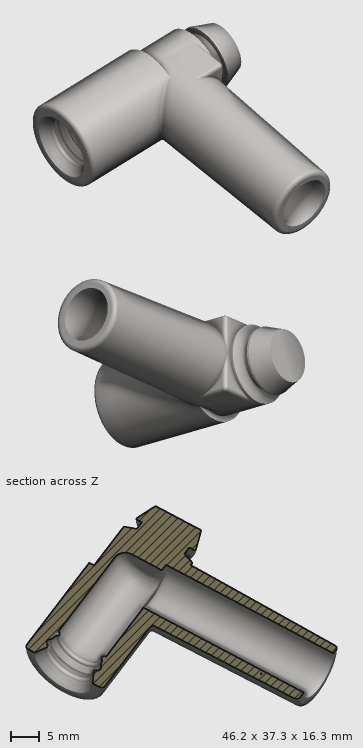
import cadquery as cq
import math

barrel_radius = 8.13
barrel_length = 21.1
barrel_edge_radius = 0.75
body_radius = 7.12
body_end = 30.75
neck_radius = 4.95
neck_start = 31.55
head_start = 33.1
head_rim_end = 33.5
head_radius = 6.13
tip_radius = 4.76
tip_end = 37.34

arm_y = 23.05
arm_root_x = 8.4
arm_end_x = 38.1
arm_end_radius = 6.62
arm_end_shift = -0.2
arm_edge_radius = 0.75
web_radius = 0.6

flat_start_x = 0.95
flat_height = math.sqrt(body_radius**2 - flat_start_x**2)
block_edge_radius = 0.7

mouth_radius = 6.02
lead_in_radius = 5.71
lead_in_depth = 0.5
first_rib_start_radius = 5.04
first_rib_start = 1.75
first_rib_radius = 4.8
first_rib_width = 1.0
groove_radius = 5.5
groove_end_radius = 5.15
groove_end = 3.85
second_rib_start_radius = 4.72
second_rib_start = 5.05
second_rib_radius = 4.34
second_rib_width = 1.0
cavity_radius = 4.9
bore_depth = 26.5
bore_floor_radius = 2.8

arm_bore_radius = 4.8
arm_bore_start = 3.48


def rod_y(radius, length):
    """Cylinder about the Y axis, from Y = 0 to Y = length."""
    return cq.Workplane("XZ").circle(radius).extrude(-length)


def rod_x(radius, start, end):
    """Cylinder about the arm axis, between two X positions."""
    return cq.Workplane("YZ", origin=(start, arm_y, 0)).circle(radius).extrude(end - start)


def make_stem():
    """Body, neck and head, from the barrel shoulder to the tip."""
    profile = (
        cq.Workplane("XY")
        .moveTo(0, barrel_length)
        .lineTo(body_radius, barrel_length)
        .lineTo(body_radius, body_end)
        .lineTo(neck_radius, neck_start)
        .lineTo(neck_radius, head_start)
        .lineTo(head_radius, head_start)
        .lineTo(head_radius, head_rim_end)
        .lineTo(tip_radius, tip_end)
        .lineTo(0, tip_end)
        .close()
    )
    return profile.revolve(360, (0, 0, 0), (0, 1, 0))


def make_barrel():
    """Barrel up to its shoulder, joined by a fillet to the part of the arm root that it meets."""
    barrel = rod_y(barrel_radius, 2 * arm_y).faces("<Y").edges().fillet(barrel_edge_radius)
    crossing = barrel.union(rod_x(body_radius, 0, 2 * arm_root_x))
    inside_corner = cq.selectors.BoxSelector(
        (0, arm_y - barrel_radius, -barrel_radius),
        (barrel_radius, arm_y + barrel_radius, barrel_radius),
    )
    crossing = crossing.edges("not (%CIRCLE or |Y)").edges(inside_corner).fillet(web_radius)
    keep = cq.Workplane("XY").box(
        barrel_radius + arm_root_x, barrel_length, 2 * barrel_radius, centered=(False, False, True)
    )
    return crossing.intersect(keep.translate((-barrel_radius, 0, 0)))


def make_arm_root():
    """Part of the arm root beyond the barrel shoulder."""
    root = rod_x(body_radius, 0, arm_root_x)
    keep = cq.Workplane("XY").box(
        arm_root_x, 2 * body_radius, 2 * body_radius, centered=(False, False, True)
    )
    return root.intersect(keep.translate((0, barrel_length, 0)))


def make_arm():
    """Tapered arm from the arm root to the rounded free end."""
    taper = (
        cq.Workplane("YZ", origin=(arm_root_x, arm_y, 0))
        .circle(body_radius)
        .workplane(offset=arm_end_x - arm_root_x)
        .center(arm_end_shift, 0)
        .circle(arm_end_radius)
        .loft(ruled=True)
    )
    return taper.faces(">X").edges().fillet(arm_edge_radius)


def make_corner_block():
    block = cq.Workplane("XY").box(
        arm_root_x, body_radius, 2 * flat_height, centered=(False, False, True)
    ).translate((0, arm_y, 0))
    outer_corner = block.faces(">X").edges(">Y")
    top_and_bottom = block.faces(">Z or <Z").edges(">X or >Y")
    return outer_corner.add(top_and_bottom).fillet(block_edge_radius)


def make_barrel_bore():
    first_rib_end = first_rib_start + first_rib_width
    second_rib_end = second_rib_start + second_rib_width
    floor_round = cavity_radius - bore_floor_radius
    round_mid = floor_round * math.sqrt(0.5)
    profile = (
        cq.Workplane("YZ")
        .lineTo(0, mouth_radius)
        .lineTo(lead_in_depth, lead_in_radius)
        .lineTo(first_rib_start, first_rib_start_radius)
        .threePointArc(
            ((first_rib_start + first_rib_end) / 2, first_rib_radius),
            (first_rib_end, first_rib_start_radius),
        )
        .threePointArc(
            ((first_rib_end + groove_end) / 2, groove_radius),
            (groove_end, groove_end_radius),
        )
        .lineTo(second_rib_start, second_rib_start_radius)
        .threePointArc(
            ((second_rib_start + second_rib_end) / 2, second_rib_radius),
            (second_rib_end, cavity_radius),
        )
        .lineTo(bore_depth - floor_round, cavity_radius)
        .threePointArc(
            (bore_depth - floor_round + round_mid, bore_floor_radius + round_mid),
            (bore_depth, bore_floor_radius),
        )
        .lineTo(bore_depth, 0)
        .close()
    )
    return profile.revolve(360, (0, 0, 0), (1, 0, 0))


elbow = make_stem().union(make_arm_root()).union(make_corner_block())
outside = elbow.union(make_barrel()).union(make_arm())
arm_bore = rod_x(arm_bore_radius, arm_bore_start, arm_end_x)
result = outside.cut(make_barrel_bore()).cut(arm_bore)